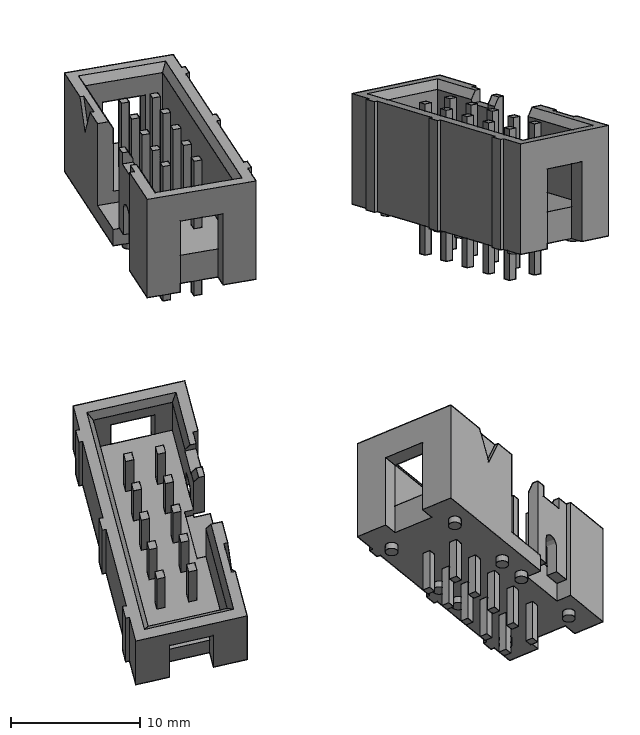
import cadquery as cq


length = 20.3
width = 8.9
height = 8.85
end_wall = 1.25
side_wall = 1.3
floor_height = 2.54
mouth_end_rim = 0.8
mouth_side_rim = 0.9
mouth_depth = 0.7
front_y = -width / 2
back_y = width / 2
inner_front_y = front_y + side_wall

pitch = 2.54
columns = 5
rows = 2
pin_side = 0.65
pin_top = 8.6
pin_bottom = -3.5

rib_width = 1.02
rib_depth = 0.3
outer_x = 7.6
peg_diameter = 1.0
peg_length = 0.57
peg_row_y = 3.0
inner_peg_x = pitch / 2

window_width = 3.5
window_top = 6.4

notch_width = 4.02
notch_bottom = 1.48
notch_depth = 2.0

latch_left = 1.83
latch_right = 5.8
latch_recess = 0.4
latch_bottom = 1.66
latch_center = (latch_left + latch_right) / 2
latch_slot_width = 1.38
latch_slot_top = 4.67
catch_width = 1.99
catch_depth = 1.0

mark_x = -pitch * (columns - 1) / 2
mark_width = 2.48
mark_height = 2.48
mark_depth = 0.3


def block(x0, x1, y0, y1, z0, z1):
    """Box between two opposite corners."""
    return cq.Workplane("XY").box(x1 - x0, y1 - y0, z1 - z0, centered=False).translate((x0, y0, z0))


def cavity():
    """Pin cavity with a mouth that widens toward the top."""
    inner_length = length - 2 * end_wall
    inner_width = width - 2 * side_wall
    well = cq.Workplane("XY").workplane(offset=floor_height).rect(inner_length, inner_width)
    well = well.extrude(height - floor_height)
    mouth = (
        cq.Workplane("XY")
        .workplane(offset=height - mouth_depth)
        .rect(inner_length, inner_width)
        .workplane(offset=mouth_depth)
        .rect(length - 2 * mouth_end_rim, width - 2 * mouth_side_rim)
        .loft(ruled=True)
    )
    return well.union(mouth)


def end_windows():
    """Openings through both end walls, running down to the underside."""
    left = block(-length / 2, -length / 2 + end_wall, -window_width / 2, window_width / 2, 0, window_top)
    return left.union(left.mirror("YZ"))


def polarising_notch():
    """Opening in the front wall that also cuts a pocket into the floor."""
    half = notch_width / 2
    return block(-half, half, front_y, front_y + notch_depth, notch_bottom, height)


def latch_cut():
    """Material removed around the latch arm: face recess, undercut, arched slot and catch."""
    recess = block(latch_left, latch_right, front_y, front_y + latch_recess, 0, height)
    undercut = block(latch_left, latch_right, front_y, inner_front_y, 0, latch_bottom)
    half_slot = latch_slot_width / 2
    slot = (
        cq.Workplane("XZ", origin=(latch_center, inner_front_y, 0))
        .moveTo(-half_slot, 0)
        .lineTo(half_slot, 0)
        .lineTo(half_slot, latch_slot_top - half_slot)
        .threePointArc((0, latch_slot_top), (-half_slot, latch_slot_top - half_slot))
        .close()
        .extrude(side_wall)
    )
    catch_left = latch_center - catch_width / 2
    catch = block(catch_left, catch_left + catch_width, front_y, inner_front_y, height - catch_depth, height)
    return recess.union(undercut).union(slot).union(catch)


def pin_one_mark():
    """Triangular pocket in the front face, pointing down at the first pin."""
    return (
        cq.Workplane("XZ", origin=(mark_x, front_y + mark_depth, height))
        .polyline([(-mark_width / 2, 0), (mark_width / 2, 0), (0, -mark_height)])
        .close()
        .extrude(mark_depth)
    )


def back_ribs():
    """Three full-height ribs on the back face."""
    return (
        cq.Workplane("XY")
        .pushPoints([(x, back_y + rib_depth / 2) for x in (-outer_x, 0, outer_x)])
        .rect(rib_width, rib_depth)
        .extrude(height)
    )


def pegs():
    """Round standoffs under the housing, in two mirrored rows outside the pins."""
    peg_columns = (-outer_x, -inner_peg_x, inner_peg_x, outer_x)
    centers = [(x, y) for x in peg_columns for y in (-peg_row_y, peg_row_y)]
    return cq.Workplane("XY").pushPoints(centers).circle(peg_diameter / 2).extrude(-peg_length)


def pins():
    """Grid of square pins passing through the floor."""
    return (
        cq.Workplane("XY")
        .workplane(offset=pin_bottom)
        .rarray(pitch, pitch, columns, rows)
        .rect(pin_side, pin_side)
        .extrude(pin_top - pin_bottom)
    )


housing = cq.Workplane("XY").box(length, width, height, centered=(True, True, False))
for cut in (cavity(), end_windows(), polarising_notch(), latch_cut(), pin_one_mark()):
    housing = housing.cut(cut)

result = housing.union(back_ribs()).union(pegs()).union(pins())